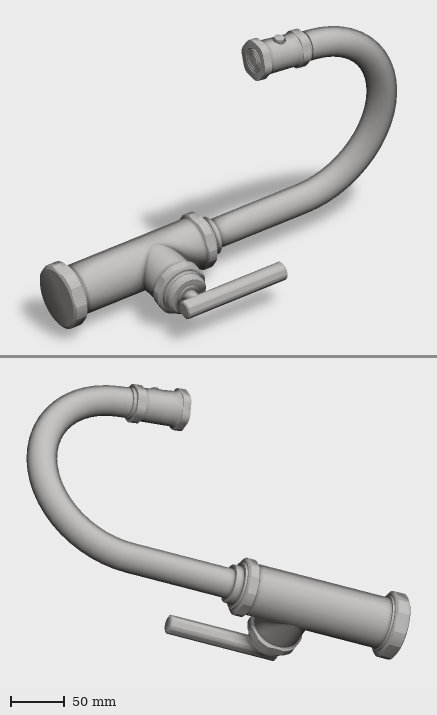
import cadquery as cq
import math


HEXAGON_HALF_ANGLE = 30.0
FLAT_HALF_ANGLE = 17.0
BODY_RIM = 3.0
RIM_SLOPE = 0.6

BODY_R = 24.5
BASE_NUT_R = 31.5
BASE_NUT_LENGTH = 15.0
BASE_COLLAR_R = 26.8
BASE_COLLAR_END = 17.0
TOP_NUT_R = 27.5
TOP_NUT_START = 151.0
TOP_NUT_LENGTH = 11.5
TOP_FLANGE_R = 22.5
TOP_FLANGE_END = 164.8
NECK_R = 18.5
NECK_END = 172.3

OVERALL_LENGTH = 377.0
SPOUT_R = 14.5
BEND_R = 89.5
BEND_Y = OVERALL_LENGTH - SPOUT_R - BEND_R
HEAD_TILT = 8.0
SPOUT_TIP_LENGTH = 9.0

VALVE_Y = 104.0
VALVE_R = 23.5
VALVE_NUT_R = 26.5
VALVE_NUT_START = 44.0
VALVE_NUT_LENGTH = 11.0
CAP_R = 21.5
CAP_STEP_X = 58.5
CAP_TOP_R = 20.7
CAP_END = 65.5
CAP_CHAMFER = 2.3
STEM_BOSS_R = 11.5
STEM_BOSS_END = 66.7
STEM_R = 8.0

LEVER_R = 9.0
LEVER_X = 81.0
LEVER_START = 88.5
LEVER_END = 199.5
LEVER_RIM = 2.0
LEVER_TURN = 4.0

JOINT_R = 13.0
JOINT_GAP = 1.5
HEAD_NECK_R = 14.7
HEAD_NUT_CORNER_FILLET = 9.8
REAR_NUT_FLAT_DISTANCE = 17.0
REAR_SHOULDER_R = 16.5
REAR_NUT_START = 4.5
REAR_NUT_LENGTH = 8.5
GRIP_START = 16.2
GRIP_START_R = 16.0
GRIP_END = 45.5
GRIP_END_R = 16.5
FLARE_R = 18.0
FRONT_NUT_FLAT_DISTANCE = 18.5
FRONT_NUT_START = 50.0
HEAD_LENGTH = 58.0
BUTTON_AT = 31.3
BUTTON_POCKET_R = 6.5
BUTTON_R = 5.0
BUTTON_CHAMFER = 0.8
BUTTON_TOP = 19.2
BUTTON_POCKET_FLOOR = 14.0
SPRAY_RING_RADII = (5.5, 8.3, 11.0)
SPRAY_RING_WIDTH = 1.0
SPRAY_RING_DEPTH = 1.5


def along_y(y):
    """Plane across the body axis, facing +Y."""
    return cq.Plane(origin=(0, y, 0), xDir=(1, 0, 0), normal=(0, 1, 0))


def along_x(x):
    """Plane across the valve axis, facing +X."""
    return cq.Plane(origin=(x, VALVE_Y, 0), xDir=(0, 1, 0), normal=(1, 0, 0))


def turned(plane, outline):
    """Solid of revolution about the plane's normal, from an outline drawn as (radius, distance) in XZ."""
    shape = outline.close().revolve(360, (0, 0), (0, 1))
    return cq.Workplane(shape.val().moved(cq.Location(plane)))


def rod(plane, radius, length):
    return cq.Workplane(plane).circle(radius).extrude(length)


def hexagon(plane, flat_distance, length):
    """Sharp hexagon bar, two corners on the plane's X axis."""
    sharp_corner_r = flat_distance / math.cos(math.radians(HEXAGON_HALF_ANGLE))
    return cq.Workplane(plane).polygon(6, 2 * sharp_corner_r).extrude(length)


def turned_hexagon(plane, corner_r, length, rim):
    """Hexagon bar with turned corners and chamfered rims, two corners on the plane's X axis."""
    sharp = hexagon(plane, corner_r * math.cos(math.radians(FLAT_HALF_ANGLE)), length)
    rim_length = rim * RIM_SLOPE
    blank = turned(plane, cq.Workplane("XZ").polyline([
        (0, 0),
        (corner_r - rim, 0),
        (corner_r, rim_length),
        (corner_r, length - rim_length),
        (corner_r - rim, length),
        (0, length),
    ]))
    return sharp.intersect(blank)


def make_body():
    top_nut_end = TOP_NUT_START + TOP_NUT_LENGTH
    core = turned(along_y(0), cq.Workplane("XZ").polyline([
        (0, 0),
        (BASE_COLLAR_R, 0),
        (BASE_COLLAR_R, BASE_COLLAR_END),
        (BODY_R, BASE_COLLAR_END),
        (BODY_R, top_nut_end),
        (TOP_FLANGE_R, top_nut_end),
        (TOP_FLANGE_R, TOP_FLANGE_END),
        (NECK_R, TOP_FLANGE_END),
        (NECK_R, NECK_END),
        (0, NECK_END),
    ]))
    base_nut = turned_hexagon(along_y(0), BASE_NUT_R, BASE_NUT_LENGTH, BODY_RIM)
    top_nut = turned_hexagon(along_y(TOP_NUT_START), TOP_NUT_R, TOP_NUT_LENGTH, BODY_RIM)
    return core.union(base_nut).union(top_nut)


def bend_point(angle):
    """(Y, Z) on the bend's centre line, by travel angle from the straight tube."""
    turn = math.radians(angle)
    return (BEND_Y + BEND_R * math.sin(turn), BEND_R * (1 - math.cos(turn)))


BEND_ANGLE = 180 - HEAD_TILT
HEAD_DIRECTION = cq.Vector(0, -math.cos(math.radians(HEAD_TILT)), math.sin(math.radians(HEAD_TILT)))
JOINT = cq.Vector(0, *bend_point(BEND_ANGLE)) + HEAD_DIRECTION * SPOUT_TIP_LENGTH


def head_plane(distance):
    """Plane across the spray head axis, at a distance in front of the joint."""
    return cq.Plane(origin=JOINT + HEAD_DIRECTION * distance, xDir=(1, 0, 0), normal=HEAD_DIRECTION)


def make_spout():
    path = (
        cq.Workplane("YZ")
        .moveTo(TOP_NUT_START, 0)
        .lineTo(BEND_Y, 0)
        .threePointArc(bend_point(BEND_ANGLE / 2), bend_point(BEND_ANGLE))
        .lineTo(JOINT.y, JOINT.z)
    )
    return cq.Workplane(along_y(TOP_NUT_START)).circle(SPOUT_R).sweep(path)


def make_valve():
    core = turned(along_x(0), cq.Workplane("XZ").polyline([
        (0, 0),
        (VALVE_R, 0),
        (VALVE_R, VALVE_NUT_START),
        (CAP_R, VALVE_NUT_START),
        (CAP_R, CAP_STEP_X),
        (CAP_TOP_R, CAP_STEP_X),
        (CAP_TOP_R, CAP_END - CAP_CHAMFER),
        (CAP_TOP_R - CAP_CHAMFER, CAP_END),
        (STEM_BOSS_R, CAP_END),
        (STEM_BOSS_R, STEM_BOSS_END),
        (0, STEM_BOSS_END),
    ]))
    return core.union(turned_hexagon(along_x(VALVE_NUT_START), VALVE_NUT_R, VALVE_NUT_LENGTH, BODY_RIM))


def make_lever():
    stem = rod(along_x(CAP_END), STEM_R, LEVER_X - CAP_END)
    length = LEVER_END - LEVER_START
    lever_plane = cq.Plane(origin=(LEVER_X, LEVER_START, 0), xDir=(1, 0, 0), normal=(0, 1, 0))
    bar = turned_hexagon(lever_plane.rotated((0, 0, LEVER_TURN)), LEVER_R, length, LEVER_RIM)
    return stem.union(bar)


def cut_spray_rings(head):
    """Concentric ring grooves in the spray face."""
    for radius in SPRAY_RING_RADII:
        ring = (
            cq.Workplane(head_plane(HEAD_LENGTH))
            .circle(radius)
            .circle(radius + SPRAY_RING_WIDTH)
            .extrude(-SPRAY_RING_DEPTH)
        )
        head = head.cut(ring)
    return head


def add_button(head):
    """Round button standing in a ring-shaped pocket on the upper side of the grip."""
    across = cq.Vector(1, 0, 0)
    upward = HEAD_DIRECTION.cross(across)
    centre = head_plane(BUTTON_AT).origin
    pocket = rod(cq.Plane(centre + upward * BUTTON_POCKET_FLOOR, across, upward), BUTTON_POCKET_R, BUTTON_TOP)
    button = rod(cq.Plane(centre, across, upward), BUTTON_R, BUTTON_TOP).faces(">Z").chamfer(BUTTON_CHAMFER)
    return head.cut(pocket).union(button)


def head_nut(start, flat_distance, length):
    """Hexagon nut with filleted corners on the spray head axis."""
    blank = hexagon(head_plane(start), flat_distance, length)
    return blank.edges(cq.ParallelDirSelector(HEAD_DIRECTION)).fillet(HEAD_NUT_CORNER_FILLET)


def make_spray_head():
    outline = (
        cq.Workplane("XZ")
        .moveTo(GRIP_START_R, GRIP_START)
        .lineTo(GRIP_END_R, GRIP_END)
        .tangentArcPoint((FLARE_R, FRONT_NUT_START), relative=False)
        .lineTo(0, FRONT_NUT_START)
        .lineTo(0, 0)
        .lineTo(JOINT_R, 0)
        .lineTo(JOINT_R, JOINT_GAP)
        .lineTo(HEAD_NECK_R, JOINT_GAP)
        .lineTo(HEAD_NECK_R, REAR_NUT_START)
        .lineTo(REAR_SHOULDER_R, REAR_NUT_START)
        .lineTo(REAR_SHOULDER_R, REAR_NUT_START + REAR_NUT_LENGTH)
    )
    head = turned(head_plane(0), outline)
    rear_nut = head_nut(REAR_NUT_START, REAR_NUT_FLAT_DISTANCE, REAR_NUT_LENGTH)
    front_nut = head_nut(FRONT_NUT_START, FRONT_NUT_FLAT_DISTANCE, HEAD_LENGTH - FRONT_NUT_START)
    return cut_spray_rings(add_button(head.union(rear_nut).union(front_nut)))


faucet = make_body().union(make_spout()).union(make_valve()).union(make_lever())
spray_head = make_spray_head()
result = cq.Compound.makeCompound([faucet.val(), spray_head.val()])